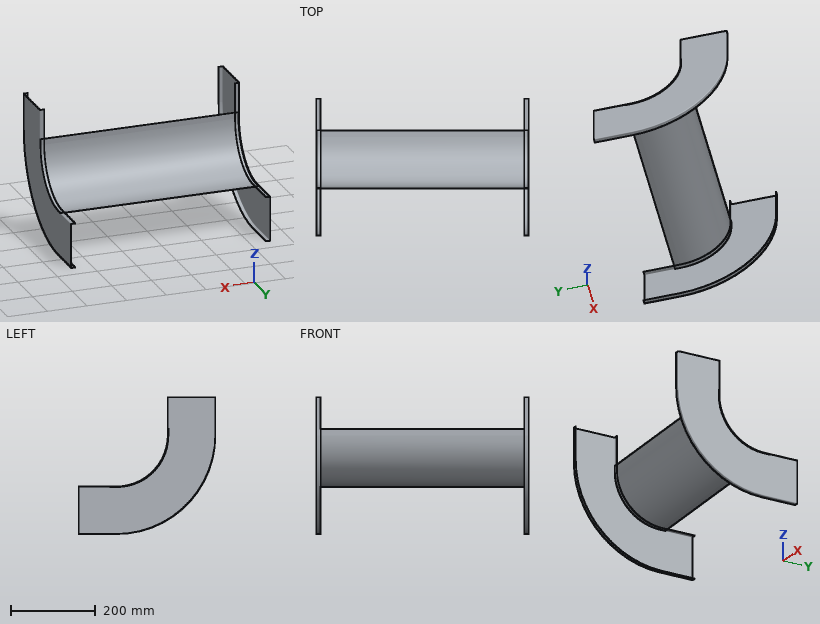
import cadquery as cq
import math

total_length = 503.0
sheet = 1.0
channel_width = 11.0
leg_depth = 113.0
inner_radius = 120.75
leg_straight = 90.0
fold_radius = 2.0
trough_straight = 15.0

outer_radius = inner_radius + leg_depth
half_size = (leg_straight + outer_radius) / 2
inner_fold_radius = fold_radius - sheet
trough_length = total_length - 2 * fold_radius
trough_radius = inner_radius + sheet

axis_y = half_size - leg_straight
axis_z = half_size - leg_straight


def elbow_band(near_radius, far_radius, straight, start_x, length):
    """Solid band between two radii: a quarter turn with a straight run at each end."""
    diagonal = math.sqrt(0.5)
    return (
        cq.Workplane("YZ", origin=(start_x, axis_y, axis_z))
        .moveTo(-near_radius, straight)
        .lineTo(-near_radius, 0)
        .threePointArc((-near_radius * diagonal, -near_radius * diagonal), (0, -near_radius))
        .lineTo(straight, -near_radius)
        .lineTo(straight, -far_radius)
        .lineTo(0, -far_radius)
        .threePointArc((-far_radius * diagonal, -far_radius * diagonal), (-far_radius, 0))
        .lineTo(-far_radius, straight)
        .close()
        .extrude(length)
    )


def folded_block(inset, radius):
    """Elbow block moved in by inset from the channel's outer skin, rounded along its web face."""
    block = elbow_band(
        inner_radius + inset,
        outer_radius - inset,
        leg_straight,
        -total_length / 2 + inset,
        channel_width - inset,
    )
    web = block.faces("<X")
    end_edges = web.edges(">Y or >Z").vals()
    fold_edges = web.edges().filter(lambda edge: not any(edge.isSame(end) for end in end_edges))
    return fold_edges.fillet(radius)


def end_channel():
    """Elbow channel, open at both leg ends, with its web at -X and its flanges pointing to +X."""
    return folded_block(0, fold_radius).cut(folded_block(sheet, inner_fold_radius))


def trough_sheet():
    """Curved sheet between the channels, seated against the inside of their inner flanges."""
    return elbow_band(
        trough_radius,
        trough_radius + sheet,
        trough_straight,
        -trough_length / 2,
        trough_length,
    )


left_channel = end_channel()
right_channel = left_channel.mirror("YZ")
trough = trough_sheet()

result = cq.Compound.makeCompound([left_channel.val(), right_channel.val(), trough.val()])